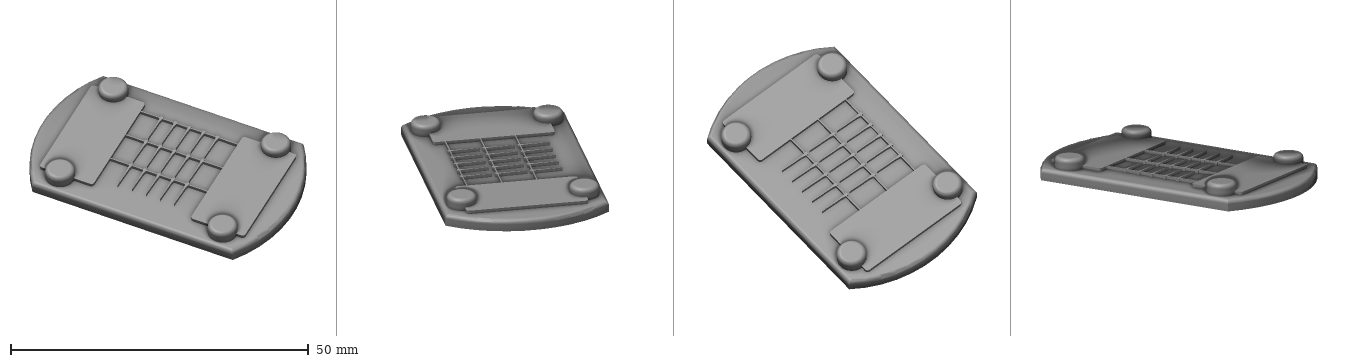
import cadquery as cq
import math

disc_diameter = 46.5
plate_width = 28.0
plate_thickness = 2.0
plate_edge_radius = 0.75

foot_diameter = 5.0
foot_height = 2.0
foot_edge_radius = 0.75
foot_x = 15.05
foot_y = 10.5

relief_height = 0.6
pad_inner_x = 9.0
pad_outer_x = 19.0
pad_length = 20.9
pad_corner_radius = 0.5

barb_columns = 5
barb_rows = 3
column_pitch = 2.6
row_pitch = 6.0
barb_length = 5.5
barb_head_width = 0.53
barb_head_length = 0.4
barb_neck_width = 0.25
barb_neck_half_angle = 9.0

bar_width = 0.2
bar_setback = 0.35

barb_field_length = (barb_rows - 1) * row_pitch + barb_length
first_head_y = barb_field_length / 2
head_rows_y = [first_head_y - row * row_pitch for row in range(barb_rows)]
columns_x = [(column - (barb_columns - 1) / 2) * column_pitch for column in range(barb_columns)]


def base_plate():
    half_width = plate_width / 2
    disc_radius = disc_diameter / 2
    corner_x = math.sqrt(disc_radius**2 - half_width**2)
    return (
        cq.Workplane("XY")
        .moveTo(-corner_x, -half_width)
        .lineTo(corner_x, -half_width)
        .threePointArc((disc_radius, 0), (corner_x, half_width))
        .lineTo(-corner_x, half_width)
        .threePointArc((-disc_radius, 0), (-corner_x, -half_width))
        .close()
        .extrude(plate_thickness)
        .faces(">Z")
        .edges()
        .fillet(plate_edge_radius)
    )


def on_plate():
    return cq.Workplane("XY").workplane(offset=plate_thickness)


def feet():
    return (
        on_plate()
        .rect(2 * foot_x, 2 * foot_y, forConstruction=True)
        .vertices()
        .circle(foot_diameter / 2)
        .extrude(foot_height)
        .faces(">Z")
        .edges()
        .fillet(foot_edge_radius)
    )


def side_pads():
    pad_centre_x = (pad_inner_x + pad_outer_x) / 2
    return (
        on_plate()
        .pushPoints([(-pad_centre_x, 0), (pad_centre_x, 0)])
        .rect(pad_outer_x - pad_inner_x, pad_length)
        .extrude(relief_height)
        .edges("|Z")
        .fillet(pad_corner_radius)
    )


def cross_bars():
    bar_centres = [(0, head_y - bar_setback) for head_y in head_rows_y]
    return on_plate().pushPoints(bar_centres).rect(2 * pad_inner_x, bar_width).extrude(relief_height)


def barb(x, head_y):
    """Barb pointing to -Y: straight head, tapered neck, then a blade running to a point."""
    half_head = barb_head_width / 2
    half_neck = barb_neck_width / 2
    neck_length = (half_head - half_neck) / math.tan(math.radians(barb_neck_half_angle))
    shoulder_y = head_y - barb_head_length
    neck_y = shoulder_y - neck_length
    outline = [
        (x - half_head, head_y),
        (x + half_head, head_y),
        (x + half_head, shoulder_y),
        (x + half_neck, neck_y),
        (x, head_y - barb_length),
        (x - half_neck, neck_y),
        (x - half_head, shoulder_y),
    ]
    return on_plate().polyline(outline).close().extrude(relief_height)


result = base_plate().union(side_pads()).union(feet()).union(cross_bars())
for head_y in head_rows_y:
    for column_x in columns_x:
        result = result.union(barb(column_x, head_y))